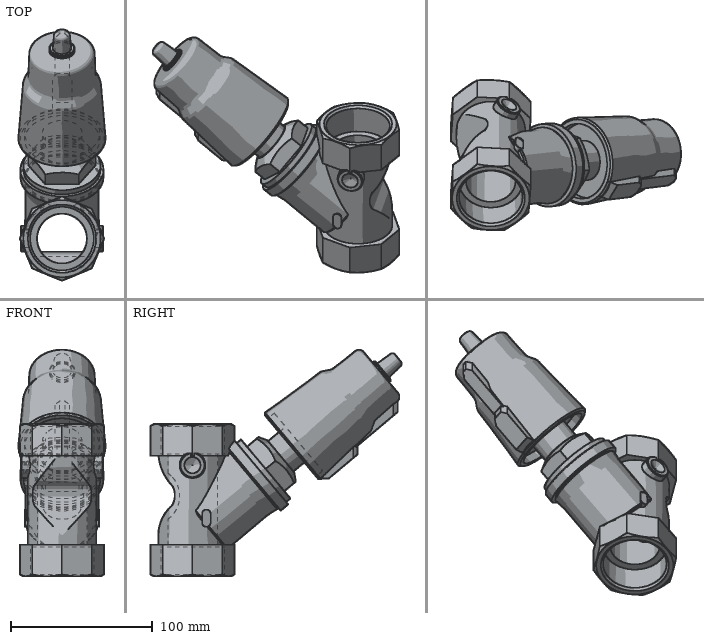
import cadquery as cq
import math

BODY_LENGTH = 107.6
NUT_HEIGHT = 22.5
NUT_ACROSS_FLATS = 55.0
NUT_SIDES = 8
NUT_FACE_DIAMETER = 54.4
NUT_CHAMFER_ANGLE = 30.0
PIPE_DIAMETER = 48.5
BORE_DIAMETER = 35.0
SOCKET_DIAMETER = 44.84
SOCKET_DEPTH = 21.0
SOCKET_CHAMFER = 1.6

WAIST_TOP_Z = 35.0
WAIST_BOTTOM_Z = -25.2
WAIST_UPPER_RADIUS = 36.0
WAIST_LOWER_RADIUS = 28.3
WAIST_UPPER_EDGE_Z = 10.0
WAIST_LOWER_EDGE_Z = -4.0
WAIST_FLOOR_Y = -12.5
RIDGE_RADIUS = 20.0
RIDGE_CREST_Y = -9.2
RIDGE_Z = 3.0

BOSS_DIAMETER = 18.2
BOSS_Z = 24.7
BOSS_SPAN = 58.4
BOSS_EDGE = 0.7
DIMPLE_DIAMETER = 11.4
DIMPLE_DEPTH = 3.0
DIMPLE_TIP_DIAMETER = 0.2

PAD_WIDTH = 6.0
PAD_HEIGHT = 12.2
PAD_SPAN = 52.4
PAD_Y = 9.8
PAD_Z = -12.7

BRANCH_ANGLE = 40.0
BRANCH_Z = -21.3

BRANCH_START = 9.7
BRANCH_CHAMFER = 1.0
BRANCH_DIAMETER = 51.7
BRANCH_TAPER_START = 46.7
BRANCH_TAPER_DIAMETER = 54.0
GROOVE_START = 55.4
FLANGE_START = 56.6
FLANGE_DIAMETER = 58.7
RING_START = 63.5
RING_DIAMETER = 54.4
HEX_SIDES = 6
HEX_START = 67.4
HEX_END = 81.3
HEX_ACROSS_FLATS = 41.0
HEX_FACE_DIAMETER = 30.0
HEX_CHAMFER_ANGLE = 30.0
STEM_DIAMETER = 28.0

HOUSING_START = 91.3
HOUSING_DIAMETER = 61.67
HOUSING_RIM = 1.3
SHOULDER_START = 141.7
SHOULDER_DIAMETER = 55.2
SHOULDER_FILLET = 4.5
CAP_START = 148.2
CAP_BASE_DIAMETER = 47.7
CAP_END = 173.4
CAP_END_DIAMETER = 46.2
CAP_FILLET = 4.3
RECESS_DIAMETER = 53.0
RECESS_DEPTH = 6.0
RECESS_CEILING = HOUSING_START + RECESS_DEPTH

COLLAR_DIAMETER = 18.2
COLLAR_HEIGHT = 2.0
COLLAR_CHAMFER = 0.7
PIN_BASE_DIAMETER = 13.4
PIN_TIP_DIAMETER = 11.0
PIN_END = 189.2
PIN_FILLET = 2.4

UPPER_PORT_WIDTH = 10.0
UPPER_PORT_FOOT = 120.0
UPPER_PORT_END = 164.7
UPPER_PORT_OFFSET = 29.1
LOWER_PORT_WIDTH = 14.0
LOWER_PORT_FOOT = 97.2
LOWER_PORT_END = 123.8
LOWER_PORT_OFFSET = 33.8
PORT_ROOT_OFFSET = 22.0
PORT_CORNER = 3.2

CLEARANCE = 1.0


def disc(diameter, start, end):
    """Cylinder on the local Z axis between two stations."""
    return cq.Workplane("XY").workplane(offset=start).circle(diameter / 2).extrude(end - start)


def frustum(start_diameter, start, end_diameter, end):
    """Cone frustum on the local Z axis."""
    outline = [(0, start), (start_diameter / 2, start), (end_diameter / 2, end), (0, end)]
    return cq.Workplane("XZ").polyline(outline).close().revolve(360, (0, 0), (0, 1))


def chamfered_prism(sides, across_flats, start, end, face_diameter, angle):
    """Polygonal prism with corners on X, turned conically at its upper end."""
    corner_diameter = across_flats / math.cos(math.pi / sides)
    prism = cq.Workplane("XY").workplane(offset=start).polygon(sides, corner_diameter).extrude(end - start)
    height = end - start
    wide_diameter = face_diameter + 2 * height / math.tan(math.radians(angle))
    return prism.intersect(frustum(wide_diameter, start, face_diameter, end))


def make_waist():
    """Material removed from the -Y side of the pipe to neck it in."""
    rim_y = -PIPE_DIAMETER / 2
    outside_y = rim_y - PIPE_DIAMETER / 2

    def wall_y(rise, radius):
        return rim_y + radius - math.sqrt(radius**2 - rise**2)

    upper_rise = WAIST_TOP_Z - WAIST_UPPER_EDGE_Z
    lower_rise = WAIST_LOWER_EDGE_Z - WAIST_BOTTOM_Z
    floor_z = (WAIST_UPPER_EDGE_Z + WAIST_LOWER_EDGE_Z) / 2
    return (
        cq.Workplane("YZ")
        .moveTo(outside_y, WAIST_TOP_Z)
        .lineTo(rim_y, WAIST_TOP_Z)
        .threePointArc(
            (wall_y(upper_rise / 2, WAIST_UPPER_RADIUS), WAIST_TOP_Z - upper_rise / 2),
            (wall_y(upper_rise, WAIST_UPPER_RADIUS), WAIST_UPPER_EDGE_Z),
        )
        .threePointArc(
            (WAIST_FLOOR_Y, floor_z),
            (wall_y(lower_rise, WAIST_LOWER_RADIUS), WAIST_LOWER_EDGE_Z),
        )
        .threePointArc(
            (wall_y(lower_rise / 2, WAIST_LOWER_RADIUS), WAIST_BOTTOM_Z + lower_rise / 2),
            (rim_y, WAIST_BOTTOM_Z),
        )
        .lineTo(outside_y, WAIST_BOTTOM_Z)
        .close()
        .extrude(PIPE_DIAMETER / 2 + CLEARANCE, both=True)
    )


def make_pipe():
    half = BODY_LENGTH / 2
    return disc(PIPE_DIAMETER, -half, half).cut(make_waist())


def make_nuts():
    half = BODY_LENGTH / 2
    upper = chamfered_prism(
        NUT_SIDES, NUT_ACROSS_FLATS, half - NUT_HEIGHT, half, NUT_FACE_DIAMETER, NUT_CHAMFER_ANGLE
    )
    return upper.union(upper.mirror("XY"))


def make_bores():
    """Through bore, narrowed behind the waist, with a chamfered socket at each end."""
    half = BODY_LENGTH / 2
    ridge = (
        cq.Workplane("YZ")
        .center(RIDGE_CREST_Y - RIDGE_RADIUS, RIDGE_Z)
        .circle(RIDGE_RADIUS)
        .extrude(BORE_DIAMETER / 2, both=True)
    )
    bore = disc(BORE_DIAMETER, -half, half).cut(ridge)
    socket = disc(SOCKET_DIAMETER, half - SOCKET_DEPTH, half)
    mouth = frustum(SOCKET_DIAMETER, half - SOCKET_CHAMFER, SOCKET_DIAMETER + 2 * SOCKET_CHAMFER, half)
    upper_end = socket.union(mouth)
    return bore.union(upper_end).union(upper_end.mirror("XY"))


def make_bosses():
    bosses = (
        cq.Workplane("YZ")
        .center(0, BOSS_Z)
        .circle(BOSS_DIAMETER / 2)
        .extrude(BOSS_SPAN / 2, both=True)
        .faces("<X or >X")
        .edges()
        .chamfer(BOSS_EDGE)
    )
    dimple = frustum(DIMPLE_TIP_DIAMETER, BOSS_SPAN / 2 - DIMPLE_DEPTH, DIMPLE_DIAMETER, BOSS_SPAN / 2)
    for turn in (90, -90):
        bosses = bosses.cut(dimple.rotate((0, 0, 0), (0, 1, 0), turn).translate((0, 0, BOSS_Z)))
    return bosses


def make_pads():
    return (
        cq.Workplane("YZ")
        .center(PAD_Y, PAD_Z)
        .slot2D(PAD_HEIGHT, PAD_WIDTH, 90)
        .extrude(PAD_SPAN / 2, both=True)
    )


def make_bonnet():
    """Branch, flange, hexagon and stem, stacked on the local Z axis."""
    hexagon = chamfered_prism(
        HEX_SIDES, HEX_ACROSS_FLATS, HEX_START, HEX_END, HEX_FACE_DIAMETER, HEX_CHAMFER_ANGLE
    )
    return (
        disc(BRANCH_DIAMETER, BRANCH_START, FLANGE_START)
        .faces("<Z")
        .edges()
        .chamfer(BRANCH_CHAMFER)
        .union(frustum(BRANCH_DIAMETER, BRANCH_TAPER_START, BRANCH_TAPER_DIAMETER, GROOVE_START))
        .union(disc(FLANGE_DIAMETER, FLANGE_START, RING_START))
        .union(disc(RING_DIAMETER, RING_START, HEX_START))
        .union(hexagon)
        .union(disc(STEM_DIAMETER, HEX_START, RECESS_CEILING))
    )


def make_housing():
    """Tapered housing, sloped shoulder and rounded cap, hollowed slightly around the stem."""
    outline = [
        (0, HOUSING_START),
        (HOUSING_DIAMETER / 2 - HOUSING_RIM, HOUSING_START),
        (HOUSING_DIAMETER / 2, HOUSING_START + HOUSING_RIM),
        (SHOULDER_DIAMETER / 2, SHOULDER_START),
        (CAP_BASE_DIAMETER / 2, CAP_START),
        (CAP_END_DIAMETER / 2, CAP_END),
        (0, CAP_END),
    ]
    housing = cq.Workplane("XZ").polyline(outline).close().revolve(360, (0, 0), (0, 1))
    shoulder_zone = cq.selectors.BoxSelector(
        (-HOUSING_DIAMETER, -HOUSING_DIAMETER, SHOULDER_START - CLEARANCE),
        (HOUSING_DIAMETER, HOUSING_DIAMETER, CAP_START + CLEARANCE),
    )
    housing = housing.edges(shoulder_zone).edges("%CIRCLE").fillet(SHOULDER_FILLET)
    housing = housing.faces(">Z").edges().fillet(CAP_FILLET)
    return housing.union(make_ports()).cut(disc(RECESS_DIAMETER, HOUSING_START, RECESS_CEILING))


def make_port(width, offset, foot, end):
    """Ridge on the local +Y side; once leaned, its end is vertical and its foot is level."""
    depth = offset - PORT_ROOT_OFFSET
    lean = math.radians(BRANCH_ANGLE)
    outline = [
        (PORT_ROOT_OFFSET, foot - depth / math.tan(lean)),
        (offset, foot),
        (offset, end),
        (PORT_ROOT_OFFSET, end + depth * math.tan(lean)),
    ]
    vertical = cq.Vector(0, -math.cos(lean), math.sin(lean))
    return (
        cq.Workplane("YZ")
        .polyline(outline)
        .close()
        .extrude(width / 2, both=True)
        .edges(cq.selectors.ParallelDirSelector(vertical))
        .chamfer(PORT_CORNER)
    )


def make_ports():
    upper = make_port(UPPER_PORT_WIDTH, UPPER_PORT_OFFSET, UPPER_PORT_FOOT, UPPER_PORT_END)
    lower = make_port(LOWER_PORT_WIDTH, LOWER_PORT_OFFSET, LOWER_PORT_FOOT, LOWER_PORT_END)
    above_base = disc(2 * HOUSING_DIAMETER, HOUSING_START, CAP_END)
    return upper.union(lower).intersect(above_base)


def make_indicator():
    """Collar and tapered, round-ended pin on top of the cap."""
    collar = disc(COLLAR_DIAMETER, CAP_END, CAP_END + COLLAR_HEIGHT)
    collar = collar.faces(">Z").edges().chamfer(COLLAR_CHAMFER)
    pin = frustum(PIN_BASE_DIAMETER, CAP_END, PIN_TIP_DIAMETER, PIN_END)
    pin = pin.faces(">Z").edges().fillet(PIN_FILLET)
    return collar.union(pin)


def tilt(shape):
    """Lean a shape from the Z axis onto the inclined axis."""
    return shape.rotate((0, 0, 0), (1, 0, 0), BRANCH_ANGLE - 90).translate((0, 0, BRANCH_Z))


inclined = make_bonnet().union(make_housing()).union(make_indicator())
result = (
    make_pipe()
    .union(tilt(inclined))
    .union(make_nuts())
    .union(make_bosses())
    .union(make_pads())
    .cut(make_bores())
)